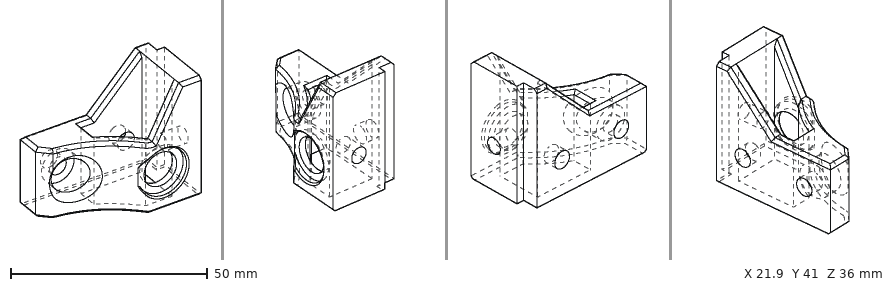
import cadquery as cq
import math

WIDTH = 21.85
DEPTH = 41.0
HEIGHT = 36.0
STEP_HEIGHT = 21.0

WALL = 4.0
RECESS_WIDTH = 4.9
RECESS_DEPTH = 2.35
BACK_WALL_FACE = DEPTH - RECESS_DEPTH - WALL
WINDOW_FRONT = 16.0

ARC_RADIUS = 32.0
ARC_CENTER_X = 42.2
NOSE_WIDTH = 7.15
DIAGONAL = math.sqrt(0.5)
ARC_END_X = ARC_CENTER_X - ARC_RADIUS * DIAGONAL
ARC_END_Y = ARC_RADIUS * DIAGONAL
CORNER_Y = ARC_END_Y + WIDTH - ARC_END_X
WINDOW_CORNER_Y = CORNER_Y + WALL * math.tan(math.radians(22.5))

SLOPE_RISE = HEIGHT - STEP_HEIGHT
LEFT_SLOPE_FOOT = BACK_WALL_FACE - SLOPE_RISE
RIGHT_SLOPE_FOOT = WINDOW_CORNER_Y
SLOPE_SPLIT_X = WIDTH / 2

CHAMFER = 1.0
SMALL_CHAMFER = 0.4
CORNER_FILLET = 3.0
SMALL_FILLET = 1.0

HOLE_Z = 11.0
SCREW_DIAMETER = 5.2
FRONT_SCREW_Y = 8.9
REAR_SCREW_Y = 29.75
HEAD_DIAMETER = 10.0
HEAD_CHAMFER = 2.0
ACCESS_RECESS_DIAMETER = 14.0
ACCESS_RECESS_DEPTH = 2.0
ACCESS_CHAMFER = 0.5

BACK_HOLE_DIAMETER = 4.7
BACK_HOLE_X = (RECESS_WIDTH + WIDTH) / 2
BACK_HOLE_Z = 14.0

TOLERANCE = 0.01


def arc_point_at_y(y, radius):
    """Point of the concave arc of the given radius at the given y."""
    return (ARC_CENTER_X - math.sqrt(radius**2 - y**2), y)


def arc_point_halfway(start, end, radius):
    """Point of the concave arc at the middle y of two of its points."""
    return arc_point_at_y((start[1] + end[1]) / 2, radius)


def nose_corner():
    """Where the 45 degree nose flat, x - y = NOSE_WIDTH, meets the arc."""
    offset = (ARC_CENTER_X - NOSE_WIDTH) * DIAGONAL
    along = math.sqrt(ARC_RADIUS**2 - offset**2)
    x = ARC_CENTER_X - (offset + along) * DIAGONAL
    return (x, x - NOSE_WIDTH)


def box(left, right, front, back, bottom, top):
    size = (right - left, back - front, top - bottom)
    return cq.Workplane("XY", origin=(left, front, bottom)).box(*size, centered=False)


def x_cylinder(diameter, y, left, right):
    """Cylinder along X at the height of the hole axes."""
    plane = cq.Workplane("YZ", origin=(left, y, HOLE_Z))
    return plane.circle(diameter / 2).extrude(right - left)


def outline_prism(bottom, top):
    """Prism with the plan outline of the bracket."""
    nose = nose_corner()
    arc_end = (ARC_END_X, ARC_END_Y)
    return (
        cq.Workplane("XY", origin=(0, 0, bottom))
        .moveTo(0, 0)
        .lineTo(NOSE_WIDTH, 0)
        .lineTo(*nose)
        .threePointArc(arc_point_halfway(nose, arc_end, ARC_RADIUS), arc_end)
        .lineTo(WIDTH, CORNER_Y)
        .lineTo(WIDTH, DEPTH)
        .lineTo(RECESS_WIDTH, DEPTH)
        .lineTo(RECESS_WIDTH, DEPTH - RECESS_DEPTH)
        .lineTo(0, DEPTH - RECESS_DEPTH)
        .close()
        .extrude(top - bottom)
    )


def window_prism(back, height):
    """Upright prism of the window, whose right side runs parallel to the outer side."""
    radius = ARC_RADIUS + WALL
    arc_start = arc_point_at_y(WINDOW_FRONT, radius)
    arc_end = arc_point_at_y(radius * DIAGONAL, radius)
    return (
        cq.Workplane("XY")
        .moveTo(WALL, WINDOW_FRONT)
        .lineTo(*arc_start)
        .threePointArc(arc_point_halfway(arc_start, arc_end, radius), arc_end)
        .lineTo(WIDTH - WALL, WINDOW_CORNER_Y)
        .lineTo(WIDTH - WALL, back)
        .lineTo(WALL, back)
        .close()
        .extrude(height)
    )


def space_above_slope(foot, left, right):
    """Space above the step and a slope, which runs on upward past the back wall."""
    run = BACK_WALL_FACE - foot
    top = STEP_HEIGHT + 2 * SLOPE_RISE
    return (
        cq.Workplane("YZ", origin=(left, 0, 0))
        .moveTo(0, STEP_HEIGHT)
        .lineTo(foot, STEP_HEIGHT)
        .lineTo(foot + 2 * run, top)
        .lineTo(0, top)
        .close()
        .extrude(right - left)
    )


def cut_slopes(body):
    body = body.cut(space_above_slope(LEFT_SLOPE_FOOT, 0, SLOPE_SPLIT_X))
    return body.cut(space_above_slope(RIGHT_SLOPE_FOOT, SLOPE_SPLIT_X, WIDTH))


def vertical_edge(body, point):
    """The upright edge of a body that passes through a plan point."""
    x, y = point
    low = (x - TOLERANCE, y - TOLERANCE, -HEIGHT)
    high = (x + TOLERANCE, y + TOLERANCE, 2 * HEIGHT)
    return body.edges(cq.selectors.BoxSelector(low, high))


def top_edges(body):
    """Edges that bound the upward faces as a whole, without the edges between them."""
    upward = [face for face in body.faces().vals() if face.normalAt().z > TOLERANCE]
    edges = [edge for face in upward for edge in face.Edges()]
    return [edge for edge in edges if sum(edge.isSame(other) for other in edges) == 1]


def on_back(edge):
    """True for edges behind the back wall's front face, but not for those of the side walls."""
    bounds = edge.BoundingBox()
    across = bounds.ylen < TOLERANCE and bounds.ymin > BACK_WALL_FACE - TOLERANCE
    beside_recess = bounds.ymin > DEPTH - RECESS_DEPTH - TOLERANCE and bounds.xmax < WIDTH - TOLERANCE
    return across or beside_recess


def between_slopes(edge):
    bounds = edge.BoundingBox()
    return bounds.xlen < TOLERANCE and abs(bounds.xmin - SLOPE_SPLIT_X) < TOLERANCE


def on_left(edge):
    return edge.BoundingBox().xmax < TOLERANCE


def upper_half():
    """Solid half above the hole axes, with slopes and a chamfered outer rim."""
    body = outline_prism(HOLE_Z, HEIGHT)
    body = vertical_edge(body, (WIDTH, CORNER_Y)).fillet(CORNER_FILLET)
    body = cut_slopes(body)
    rim = [edge for edge in top_edges(body) if not on_back(edge) and not between_slopes(edge)]
    return body.newObject(rim).chamfer(CHAMFER)


def lower_half():
    """Solid half below the hole axes; its bottom chamfer is smaller on the left and back."""
    body = outline_prism(0, HOLE_Z)
    body = vertical_edge(body, nose_corner()).fillet(CORNER_FILLET)
    body = vertical_edge(body, (WIDTH, CORNER_Y)).fillet(SMALL_FILLET)
    rim = body.faces("<Z").edges().vals()
    front_right = [edge for edge in rim if not on_back(edge) and not on_left(edge)]
    body = body.newObject(front_right).chamfer(CHAMFER)
    rim = body.faces("<Z").edges().vals()
    back_left = [edge for edge in rim if on_back(edge) or on_left(edge)]
    return body.newObject(back_left).chamfer(SMALL_CHAMFER)


def window_cutter():
    """Window with its chamfered rim, which runs out into the flat back wall.

    The rim is chamfered on a plain block whose window is open to the back. The
    space left inside that block is then ended at the back wall.
    """
    slope_top = STEP_HEIGHT + 2 * SLOPE_RISE
    block = cut_slopes(box(0, WIDTH, 0, DEPTH, 0, slope_top))
    frame = block.cut(window_prism(DEPTH, slope_top))
    around_window = cq.selectors.BoxSelector(
        (WALL - TOLERANCE, WINDOW_FRONT - TOLERANCE, 0),
        (WIDTH - WALL + TOLERANCE, DEPTH + TOLERANCE, slope_top),
        boundingbox=True,
    )
    rim = around_window.filter(top_edges(frame))
    frame = frame.newObject(rim).chamfer(CHAMFER)
    return block.intersect(box(0, WIDTH, 0, BACK_WALL_FACE, 0, slope_top)).cut(frame)


def head_pocket():
    """Screw head pocket with a wide chamfer where it leaves the concave side.

    It is shaped in a block with only the arc as its right side, so that the
    chamfer may reach past the corner of the nose.
    """
    seat_x = WALL
    arc_start = arc_point_at_y(-ARC_END_Y, ARC_RADIUS)
    arc_end = (ARC_END_X, ARC_END_Y)
    block = (
        cq.Workplane("XY", origin=(0, 0, HOLE_Z - HEAD_DIAMETER))
        .moveTo(0, -ARC_END_Y)
        .lineTo(*arc_start)
        .threePointArc(arc_point_halfway(arc_start, arc_end, ARC_RADIUS), arc_end)
        .lineTo(0, ARC_END_Y)
        .close()
        .extrude(2 * HEAD_DIAMETER)
    )
    drilled = block.cut(x_cylinder(HEAD_DIAMETER, FRONT_SCREW_Y, seat_x, WIDTH))
    mouth = cq.selectors.BoxSelector(
        (seat_x + TOLERANCE, FRONT_SCREW_Y - HEAD_DIAMETER, HOLE_Z - HEAD_DIAMETER + TOLERANCE),
        (WIDTH, FRONT_SCREW_Y + HEAD_DIAMETER, HOLE_Z + HEAD_DIAMETER - TOLERANCE),
        boundingbox=True,
    )
    rim = [edge for edge in mouth.filter(drilled.edges().vals()) if edge.geomType() != "LINE"]
    return block.cut(drilled.newObject(rim).chamfer(HEAD_CHAMFER))


def cut_access_hole(body):
    """Hole and recess in the right wall that give access to the rear screw."""
    body = body.cut(x_cylinder(HEAD_DIAMETER, REAR_SCREW_Y, WIDTH - WALL, WIDTH))
    recess_floor = WIDTH - ACCESS_RECESS_DEPTH
    body = body.cut(x_cylinder(ACCESS_RECESS_DIAMETER, REAR_SCREW_Y, recess_floor, WIDTH))
    circles = body.faces(">X").edges("%CIRCLE").vals()
    rim = [edge for edge in circles if edge.radius() > HEAD_DIAMETER / 2 + TOLERANCE]
    return body.newObject(rim).chamfer(ACCESS_CHAMFER)


def screw_holes():
    front = x_cylinder(SCREW_DIAMETER, FRONT_SCREW_Y, 0, SLOPE_SPLIT_X)
    return front.union(x_cylinder(SCREW_DIAMETER, REAR_SCREW_Y, 0, SLOPE_SPLIT_X))


def back_hole():
    plane = cq.Workplane("XZ", origin=(BACK_HOLE_X, DEPTH, BACK_HOLE_Z))
    return plane.circle(BACK_HOLE_DIAMETER / 2).extrude(DEPTH - BACK_WALL_FACE)


bracket = upper_half().union(lower_half())
bracket = bracket.cut(window_cutter()).cut(head_pocket())
bracket = cut_access_hole(bracket)
result = bracket.cut(screw_holes()).cut(back_hole())